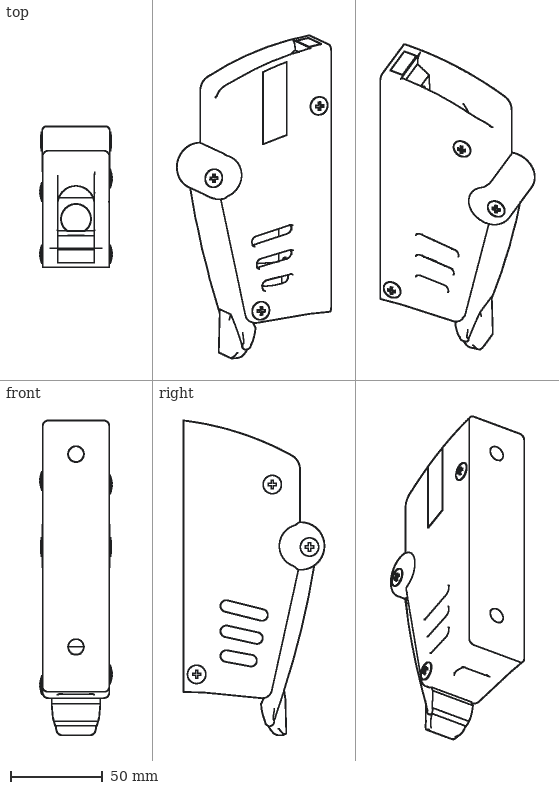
import cadquery as cq
import math

OVERALL_WIDTH = 39.3
OVERALL_DEPTH = 77.02
OVERALL_HEIGHT = 171.91
CUT_MARGIN = 5.0
TOUCH = 0.1

BODY_WIDTH = 36.5
HALF_WIDTH = BODY_WIDTH / 2
BODY_TOP = 148.2
BACK_Y = 63.7
EDGE_RADIUS = 3.2
BACK_CORNER_RADIUS = 9.0
LOWER_CORNER_RADIUS = 5.5

DRUM_RADIUS = 13.0
DRUM_Y = OVERALL_DEPTH - DRUM_RADIUS
DRUM_Z = 79.7
DRUM_WIDTH = 37.1
DRUM_FILLET = 2.5

CAVITY_WIDTH = 20.0
CAVITY_FRONT_Y = 20.0
CAVITY_REAR_Y = 38.0
CAVITY_FLOOR_Z = 24.6
MOUTH_FRONT_Y = 10.4
FRONT_SLOPE_TOP_Z = 141.5
FRONT_SLOPE_END_Y = 17.2
FRONT_SLOPE_BOTTOM_Z = 136.0
FRONT_WALL_BOTTOM_Z = 76.0
MOUTH_RADIUS = 4.1
GROOVE_RADIUS = CAVITY_WIDTH / 2
GROOVE_SLOPE = 15.0
GROOVE_BACK_Z = 122.5
GROOVE_END_Y = 44.5
RAMP_TOP_Z = 108.0
RAMP_BOTTOM_Z = 60.0
POCKET_REAR_Y = 47.0
POCKET_TOP_Z = 55.0
OUTLET_DIAMETER = 16.2
OUTLET_Y = 26.5
OUTLET_FILLET = 3.0
OUTLET_RIM_RADIUS = 1.9

MOUNT_DIAMETER = 8.5
UPPER_MOUNT_Z = 129.8
LOWER_MOUNT_Z = CAVITY_FLOOR_Z
LOWER_MOUNT_DEPTH = 22.0

SLOT_RADIUS = 3.1
SLOT_FILLET = 1.1
SLOT_INNER_Y = 23.4
SLOT_REGION = (19.0, 47.0, 13.0, 52.0)
SLOTS = [
    ((42.9, 42.0), (SLOT_INNER_Y, 46.9)),
    ((40.1, 29.4), (SLOT_INNER_Y, 33.1)),
    ((36.9, 17.1), (SLOT_INNER_Y, 19.6)),
]

LEVER_WIDTH = 26.6
LEVER_FILLET = 3.0
TIP_WIDTH = 22.0
TIP_BOTTOM_Z = BODY_TOP - OVERALL_HEIGHT
TIP_FILLET = 5.0

SCREW_DIAMETER = 10.0
SCREW_TOP_X = OVERALL_WIDTH / 2
SCREW_EMBED = 1.0
SCREW_RIM = 0.4
SCREW_FLAT_RADIUS = 1.2
DOME_BULGE = 0.75
DRUM_SCREW_HEIGHT = 0.7
DRUM_SCREW_TOP_X = DRUM_WIDTH / 2 + DRUM_SCREW_HEIGHT
DRUM_SCREW_AT = (68.8, 79.1)
LEFT_SCREWS = [(7.2, 115.2), (41.2, 3.8)]
RIGHT_SCREWS = [(48.5, 113.2), (7.2, 9.6)]
CROSS_LENGTH = 4.4
CROSS_WIDTH = 1.2
CROSS_DEPTH = 1.0

LABEL_DEPTH = 0.2
SIDE_LABEL_Y = (26.0, 39.8)
SIDE_LABEL_TOP_Z = (142.0, 136.5)
SIDE_LABEL_BOTTOM_Z = (100.2, 96.0)
TOP_LABEL_Y = (2.6, 9.8)


def yz_plane(x=0.0):
    return cq.Workplane("YZ", origin=(x, 0, 0))


def x_cylinder(y, z, radius, length):
    return yz_plane().center(y, z).circle(radius).extrude(length / 2, both=True)


def y_cylinder(z, diameter, start_y, end_y):
    plane = cq.Workplane("XZ", origin=(0, start_y, 0))
    return plane.center(0, z).circle(diameter / 2).extrude(start_y - end_y)


def make_body():
    top_back = (BACK_Y, 126.5)
    lower_corner = (47.2, -3.9)
    body = (
        yz_plane()
        .moveTo(0, 0)
        .lineTo(0, BODY_TOP)
        .threePointArc((31.5, 141.2), top_back)
        .lineTo(BACK_Y, 71.0)
        .lineTo(*lower_corner)
        .lineTo(11.7, -0.4)
        .close()
        .extrude(HALF_WIDTH, both=True)
    )
    body = body.edges(cq.selectors.NearestToPointSelector((0, *top_back))).fillet(BACK_CORNER_RADIUS)
    body = body.edges(cq.selectors.NearestToPointSelector((0, *lower_corner))).fillet(LOWER_CORNER_RADIUS)
    return body.faces("<X or >X").edges("not <Y").fillet(EDGE_RADIUS)


def make_rope_cavity():
    top = BODY_TOP + CUT_MARGIN
    cavity = (
        yz_plane()
        .polyline([
            (MOUTH_FRONT_Y, top),
            (MOUTH_FRONT_Y, FRONT_SLOPE_TOP_Z),
            (FRONT_SLOPE_END_Y, FRONT_SLOPE_BOTTOM_Z),
            (CAVITY_FRONT_Y, FRONT_WALL_BOTTOM_Z),
            (CAVITY_FRONT_Y, CAVITY_FLOOR_Z),
            (POCKET_REAR_Y, CAVITY_FLOOR_Z),
            (POCKET_REAR_Y, POCKET_TOP_Z),
            (CAVITY_REAR_Y, RAMP_BOTTOM_Z),
            (GROOVE_END_Y, RAMP_TOP_Z),
            (GROOVE_END_Y, top),
        ])
        .close()
        .extrude(CAVITY_WIDTH / 2, both=True)
    )
    straight_length = GROOVE_END_Y - GROOVE_RADIUS
    plan = (
        cq.Workplane()
        .moveTo(-GROOVE_RADIUS, 0)
        .lineTo(-GROOVE_RADIUS, straight_length)
        .threePointArc((0, GROOVE_END_Y), (GROOVE_RADIUS, straight_length))
        .lineTo(GROOVE_RADIUS, 0)
        .close()
        .extrude(top - RAMP_BOTTOM_Z)
        .translate((0, 0, RAMP_BOTTOM_Z))
    )
    pocket_space = cq.Workplane().box(CAVITY_WIDTH, 2 * OVERALL_DEPTH, 2 * RAMP_BOTTOM_Z)
    return cavity.intersect(plan.union(pocket_space))


def make_groove():
    """Sloping U-shaped channel that leads the rope in over the back."""
    slope = math.radians(GROOVE_SLOPE)
    along = cq.Vector(0, -math.cos(slope), -math.sin(slope))
    up = cq.Vector(0, -math.sin(slope), math.cos(slope))
    start = cq.Vector(0, BACK_Y, GROOVE_BACK_Z) + up * GROOVE_RADIUS - along * GROOVE_RADIUS
    length = GROOVE_RADIUS + (BACK_Y - MOUTH_FRONT_Y) / math.cos(slope)
    plane = cq.Plane(origin=start, xDir=(1, 0, 0), normal=along)
    open_height = 3 * GROOVE_RADIUS
    channel = cq.Workplane(plane).circle(GROOVE_RADIUS).extrude(length)
    open_side = (
        cq.Workplane(plane)
        .center(0, open_height / 2)
        .rect(2 * GROOVE_RADIUS, open_height)
        .extrude(length)
    )
    front_end_y = GROOVE_END_Y - GROOVE_RADIUS
    ahead_of_groove = (
        cq.Workplane().box(BODY_WIDTH, front_end_y, 2 * OVERALL_HEIGHT).translate((0, front_end_y / 2, 0))
    )
    return channel.union(open_side).cut(ahead_of_groove)


def round_mouth(body):
    """Round the rims that the rope runs over, on both sides and at the back."""
    reach = CAVITY_WIDTH / 2 + TOUCH
    rim_box = cq.selectors.BoxSelector(
        (-reach, MOUTH_FRONT_Y + TOUCH, GROOVE_BACK_Z), (reach, BACK_Y, BODY_TOP)
    )
    return body.edges(rim_box).edges("not %LINE").edges("not %ELLIPSE").fillet(MOUTH_RADIUS)


def make_outlet():
    """Vertical rope hole through the floor, with a rounded upper rim."""
    radius = OUTLET_DIAMETER / 2
    rim_z = CAVITY_FLOOR_Z - OUTLET_RIM_RADIUS
    curve = OUTLET_RIM_RADIUS * (1 - math.sqrt(0.5))
    hole = (
        cq.Workplane("XZ")
        .moveTo(0, TIP_BOTTOM_Z)
        .lineTo(radius, TIP_BOTTOM_Z)
        .lineTo(radius, rim_z)
        .threePointArc((radius + curve, CAVITY_FLOOR_Z - curve), (radius + OUTLET_RIM_RADIUS, CAVITY_FLOOR_Z))
        .lineTo(0, CAVITY_FLOOR_Z)
        .close()
        .revolve(360, (0, 0, 0), (0, 1, 0))
        .translate((0, OUTLET_Y, 0))
    )
    front_stop = (
        cq.Workplane()
        .box(BODY_WIDTH, CAVITY_FRONT_Y, 2 * OVERALL_HEIGHT)
        .translate((0, CAVITY_FRONT_Y / 2, 0))
    )
    return hole.cut(front_stop)


def flare_outlet(body):
    """Round the lower rim of the outlet."""
    reach = OUTLET_DIAMETER / 2
    lower_rim = cq.selectors.BoxSelector(
        (-reach, OUTLET_Y - reach, -CUT_MARGIN), (reach, OUTLET_Y + reach, OUTLET_RIM_RADIUS)
    )
    return body.edges(lower_rim).edges("not %LINE").fillet(OUTLET_FILLET)


def make_side_label():
    front_y, back_y = SIDE_LABEL_Y
    front_top, back_top = SIDE_LABEL_TOP_Z
    front_bottom, back_bottom = SIDE_LABEL_BOTTOM_Z
    return (
        yz_plane(-HALF_WIDTH)
        .polyline([(front_y, front_bottom), (front_y, front_top), (back_y, back_top), (back_y, back_bottom)])
        .close()
        .extrude(LABEL_DEPTH)
    )


def make_top_label(body):
    depth = TOP_LABEL_Y[1] - TOP_LABEL_Y[0]
    block = (
        cq.Workplane()
        .box(CAVITY_WIDTH, depth, 4 * CUT_MARGIN)
        .translate((0, TOP_LABEL_Y[0] + depth / 2, BODY_TOP))
    )
    return block.cut(body.translate((0, 0, -LABEL_DEPTH)))


def make_mount_holes():
    upper = y_cylinder(UPPER_MOUNT_Z, MOUNT_DIAMETER, -CUT_MARGIN, OVERALL_DEPTH)
    lower = y_cylinder(LOWER_MOUNT_Z, MOUNT_DIAMETER, -CUT_MARGIN, LOWER_MOUNT_DEPTH)
    return upper.union(lower)


def make_slot(outer_end, inner_end):
    dy = inner_end[0] - outer_end[0]
    dz = inner_end[1] - outer_end[1]
    middle = ((outer_end[0] + inner_end[0]) / 2, (outer_end[1] + inner_end[1]) / 2)
    length = math.hypot(dy, dz) + 2 * SLOT_RADIUS
    return (
        yz_plane()
        .center(*middle)
        .slot2D(length, 2 * SLOT_RADIUS, math.degrees(math.atan2(dz, dy)))
        .extrude(BODY_WIDTH, both=True)
    )


def cut_slots(body):
    for outer_end, inner_end in SLOTS:
        body = body.cut(make_slot(outer_end, inner_end))
    near_y, far_y, low_z, high_z = SLOT_REGION
    for face_x in (-HALF_WIDTH, HALF_WIDTH):
        rims = cq.selectors.BoxSelector(
            (face_x - TOUCH, near_y, low_z), (face_x + TOUCH, far_y, high_z), boundingbox=True
        )
        body = body.edges(rims).fillet(SLOT_FILLET)
    return body


def make_drum():
    drum = x_cylinder(DRUM_Y, DRUM_Z, DRUM_RADIUS, DRUM_WIDTH)
    return drum.faces("<X or >X").edges().fillet(DRUM_FILLET)


def make_lever_bar():
    bar = (
        yz_plane()
        .moveTo(71.6, 70.0)
        .threePointArc((64.1, 33.0), (55.0, 1.0))
        .lineTo(49.5, -16.0)
        .threePointArc((46.6, -18.6), (44.5, -16.0))
        .threePointArc((43.0, -11.5), (42.3, -6.5))
        .lineTo(44.5, -2.0)
        .lineTo(58.0, 55.0)
        .lineTo(58.0, 70.0)
        .close()
        .extrude(LEVER_WIDTH / 2, both=True)
    )
    outer_edges = cq.selectors.BoxSelector((-LEVER_WIDTH, 52, -20), (LEVER_WIDTH, BACK_Y + 3, 50))
    return bar.faces("<X or >X").edges(outer_edges).fillet(LEVER_FILLET)


def make_lever_tip():
    """Thumb piece flaring outwards at the lower end of the lever."""
    tip = (
        yz_plane()
        .moveTo(55.0, 1.0)
        .lineTo(55.7, -4.0)
        .lineTo(56.2, -22.6)
        .threePointArc((53.5, TIP_BOTTOM_Z), (49.0, -22.4))
        .threePointArc((45.0, -16.0), (43.4, -9.0))
        .lineTo(47.0, 1.0)
        .close()
        .extrude(TIP_WIDTH / 2, both=True)
    )
    outer_edges = cq.selectors.BoxSelector((-TIP_WIDTH, 55.5, -20), (TIP_WIDTH, 57, -5))
    return tip.faces("<X or >X").edges(outer_edges).fillet(TIP_FILLET)


def make_lever_outline():
    """Lever as seen along Y, narrowing towards a rounded lower end."""
    half_side = [(LEVER_WIDTH / 2, DRUM_Z), (LEVER_WIDTH / 2, -7.0), (12.7, -14.0), (10.8, -20.5)]
    return (
        cq.Workplane("XZ")
        .polyline(half_side)
        .threePointArc((9.8, -22.7), (7.5, TIP_BOTTOM_Z))
        .lineTo(-7.5, TIP_BOTTOM_Z)
        .threePointArc((-9.8, -22.7), (-10.8, -20.5))
        .polyline([(-x, z) for x, z in reversed(half_side)], includeCurrent=False)
        .close()
        .extrude(-OVERALL_DEPTH)
    )


def make_lever():
    return make_lever_bar().union(make_lever_tip()).intersect(make_lever_outline())


def make_screw(y, z, seat_x, top_x):
    """Domed head with a cross recess, pointing along +X."""
    radius = SCREW_DIAMETER / 2
    base_x = seat_x - SCREW_EMBED
    rim_x = seat_x + SCREW_RIM
    head = (
        cq.Workplane("XY")
        .moveTo(base_x, 0)
        .lineTo(base_x, radius)
        .lineTo(rim_x, radius)
        .threePointArc((rim_x + DOME_BULGE * (top_x - rim_x), radius / 2), (top_x, SCREW_FLAT_RADIUS))
        .lineTo(top_x, 0)
        .close()
        .revolve(360, (0, 0, 0), (1, 0, 0))
    )
    bar = cq.Workplane().box(2 * CROSS_DEPTH, CROSS_LENGTH, CROSS_WIDTH).translate((top_x, 0, 0))
    cross = bar.union(bar.rotate((0, 0, 0), (1, 0, 0), 90))
    return head.cut(cross).translate((0, y, z))


def add_screws(part):
    for y, z in RIGHT_SCREWS:
        part = part.union(make_screw(y, z, HALF_WIDTH, SCREW_TOP_X))
    for y, z in LEFT_SCREWS:
        part = part.union(make_screw(y, z, HALF_WIDTH, SCREW_TOP_X).mirror("YZ"))
    drum_screw = make_screw(*DRUM_SCREW_AT, DRUM_WIDTH / 2, DRUM_SCREW_TOP_X)
    return part.union(drum_screw).union(drum_screw.mirror("YZ"))


result = make_body()
top_label = make_top_label(result)
result = result.cut(make_rope_cavity().union(make_groove()))
result = round_mouth(result)
result = result.cut(make_outlet()).cut(make_mount_holes())
result = flare_outlet(result)
result = cut_slots(result)
result = result.cut(make_side_label()).cut(top_label)
result = result.union(make_lever()).union(make_drum())
result = add_screws(result)